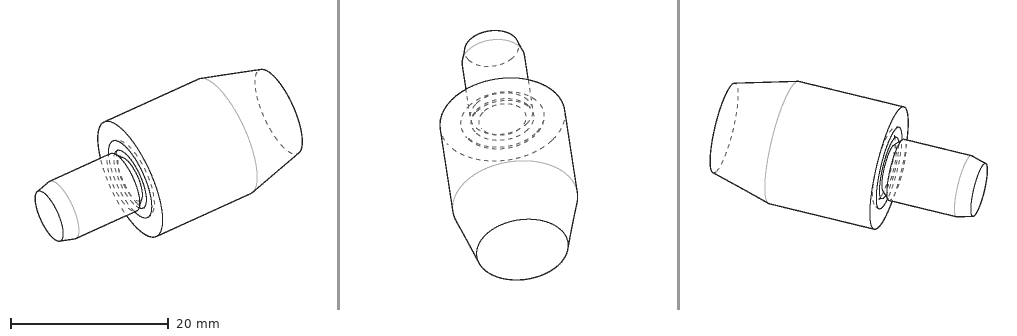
import cadquery as cq
import math

total_length = 34.0
pin_length = 12.0
body_length = total_length - pin_length

body_diameter = 16.0
body_radius = body_diameter / 2
body_taper_length = 8.0
taper_angle = math.radians(15)
body_end_radius = body_radius - body_taper_length * math.tan(taper_angle)

pin_radius = 4.0
pin_taper_length = 2.0
pin_end_radius = pin_radius - pin_taper_length * math.tan(taper_angle)

neck_length = 1.0
neck_radius = pin_radius - neck_length

groove_inner_radius = pin_radius
groove_outer_radius = 5.35
groove_middle_radius = (groove_outer_radius + groove_inner_radius) / 2
groove_depth = (groove_outer_radius - groove_inner_radius) / 2

profile = (
    cq.Workplane("XY")
    .moveTo(0, -pin_length)
    .lineTo(pin_end_radius, -pin_length)
    .lineTo(pin_radius, -pin_length + pin_taper_length)
    .lineTo(pin_radius, -neck_length)
    .lineTo(neck_radius, 0)
    .lineTo(groove_inner_radius, 0)
    .threePointArc((groove_middle_radius, groove_depth), (groove_outer_radius, 0))
    .lineTo(body_radius, 0)
    .lineTo(body_radius, body_length - body_taper_length)
    .lineTo(body_end_radius, body_length)
    .lineTo(0, body_length)
    .close()
)

result = profile.revolve(360, (0, 0, 0), (0, 1, 0))